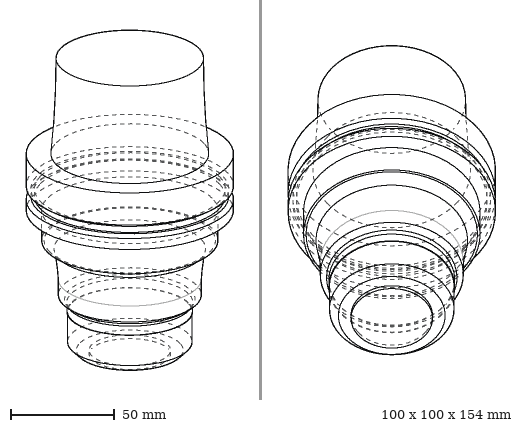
import cadquery as cq
import math

total_height = 154.0
tip_top = 2.0
nose_chamfer_top = 6.3
nose_top = 22.2
collar_top = 27.0
cone_break_height = 28.6
neck_bottom = 30.8
neck_top = 39.1
flare_top = 54.8
shoulder_bottom = 59.1
flange_bottom = 74.8
groove_bottom = 82.1
groove_top = 86.0
flange_top = 104.3

tip_radius = 39.3 / 2
nose_radius = 60.0 / 2
collar_radius = 60.7 / 2
cone_break_radius = 31.4
neck_radius = 69.0 / 2
flare_radius = 36.5
underside_cone_radius = 41.3
shoulder_radius = 85.0 / 2
groove_radius = 92.0 / 2
flange_radius = 100.0 / 2
shank_base_radius = 38.0
shank_top_radius = 35.5

flare_sag = 0.3
rim_chamfer_width = 2.3
rim_chamfer_height = 1.5
nose_chamfer = nose_chamfer_top - tip_top
rim_inner_radius = flange_radius - rim_chamfer_width

flare_middle = (
    (neck_radius + flare_radius) / 2 - flare_sag,
    (neck_top + flare_top) / 2,
)

profile = (
    cq.Workplane("XZ")
    .lineTo(tip_radius, 0)
    .lineTo(tip_radius, tip_top)
    .lineTo(nose_radius - nose_chamfer, tip_top)
    .lineTo(nose_radius, nose_chamfer_top)
    .lineTo(nose_radius, nose_top)
    .lineTo(collar_radius, nose_top)
    .lineTo(collar_radius, collar_top)
    .lineTo(cone_break_radius, cone_break_height)
    .lineTo(neck_radius, neck_bottom)
    .lineTo(neck_radius, neck_top)
    .threePointArc(flare_middle, (flare_radius, flare_top))
    .lineTo(underside_cone_radius, shoulder_bottom)
    .lineTo(shoulder_radius, shoulder_bottom)
    .lineTo(shoulder_radius, flange_bottom)
    .lineTo(flange_radius, flange_bottom)
    .lineTo(flange_radius, groove_bottom - rim_chamfer_height)
    .lineTo(rim_inner_radius, groove_bottom)
    .lineTo(groove_radius, groove_bottom)
    .lineTo(groove_radius, groove_top)
    .lineTo(rim_inner_radius, groove_top)
    .lineTo(flange_radius, groove_top + rim_chamfer_height)
    .lineTo(flange_radius, flange_top)
    .lineTo(shank_base_radius, flange_top)
)

shank_height = total_height - flange_top
shank_narrowing = shank_base_radius - shank_top_radius
shank_arc_radius = (shank_height**2 + shank_narrowing**2) / (2 * shank_narrowing)
half_angle = math.asin(shank_height / shank_arc_radius) / 2
shank_middle = (
    shank_top_radius + shank_arc_radius * (1 - math.cos(half_angle)),
    total_height - shank_arc_radius * math.sin(half_angle),
)

profile = (
    profile.threePointArc(shank_middle, (shank_top_radius, total_height))
    .lineTo(0, total_height)
    .close()
)

result = profile.revolve(360, (0, 0, 0), (0, 1, 0))